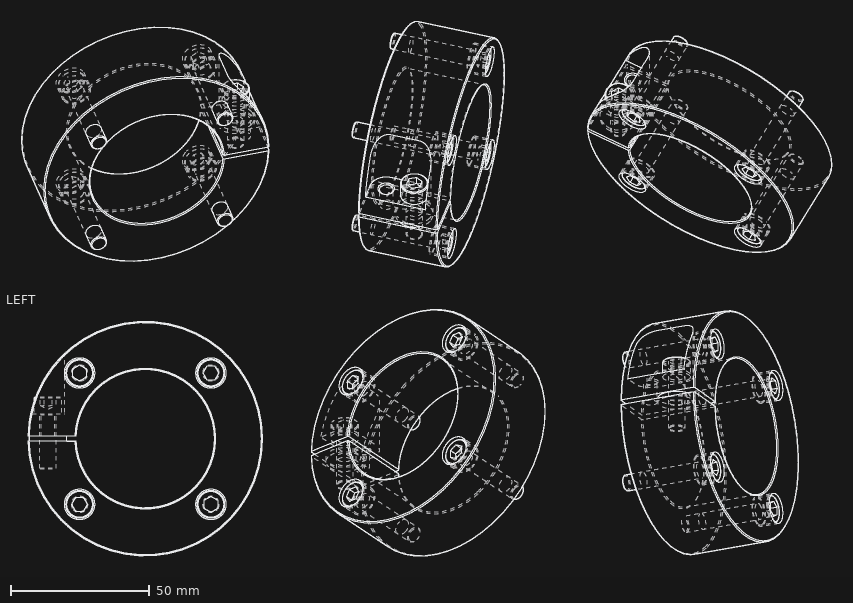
import cadquery as cq
import math

ring_radius = 42.4
ring_width = 29.85
bore_radius = 25.0
rim_chamfer = 0.4
split_gap = 1.8

shank_radius = 3.0
head_radius = 5.0
head_height = 6.0
head_chamfer = 0.3
tip_chamfer = 0.3
socket_across_flats = 5.0
socket_depth = 3.0
socket_cone_height = 1.4

mount_offset = 23.75
mount_tip_x = 37.0
mount_head_recess = 0.9
counterbore_radius = 5.5
mount_shank_length = mount_tip_x - mount_head_recess - head_height

clamp_x = 10.8
clamp_y = 35.2
clamp_shank_length = 19.9

jack_x = 21.4
jack_radius = 2.5
jack_countersink = 0.5

pocket_floor_z = 9.0
pocket_margin = 6.0

washer_radius = 6.8


def socket_cutter():
    """Hexagonal socket with a conical bottom, open at Z = 0 and reaching down."""
    circumradius = socket_across_flats / math.sqrt(3)
    full_depth = socket_depth + socket_cone_height
    hexagon = cq.Workplane("XY").polygon(6, 2 * circumradius).extrude(-full_depth)
    drill = (
        cq.Workplane("XZ")
        .polyline([(0, 0), (circumradius, 0), (circumradius, -socket_depth), (0, -full_depth)])
        .close()
        .revolve(360, (0, 0), (0, 1))
    )
    return hexagon.intersect(drill)


def cap_screw(shank_length):
    """Socket head cap screw along Z: the head stands on Z = 0, the shank reaches down."""
    head = cq.Workplane("XY").circle(head_radius).extrude(head_height).faces(">Z").chamfer(head_chamfer)
    shank = cq.Workplane("XY").circle(shank_radius).extrude(-shank_length).faces("<Z").chamfer(tip_chamfer)
    socket = socket_cutter().translate((0, 0, head_height))
    return head.union(shank).cut(socket)


def mount_centres():
    """The (Y, Z) places of the mounting screws and the turn of each one about its axis."""
    for y_side in (1, -1):
        for z_side in (1, -1):
            turn = 0 if y_side == z_side else 90
            yield y_side * mount_offset, z_side * mount_offset, turn


def rod_along_x(radius, start_x, end_x, y, z):
    return cq.Workplane("YZ", origin=(start_x, 0, 0)).center(y, z).circle(radius).extrude(end_x - start_x)


def rod_along_z(radius, start_z, end_z, x, y):
    return cq.Workplane("XY", origin=(0, 0, start_z)).center(x, y).circle(radius).extrude(end_z - start_z)


def pocket_cutter():
    """Pocket with two rounded inner corners, centred on the clamp screw and the jack hole."""
    left = clamp_x - pocket_margin
    right = jack_x + pocket_margin
    inner = clamp_y - pocket_margin
    return (
        cq.Workplane("XY", origin=(0, 0, pocket_floor_z))
        .moveTo(left, ring_radius)
        .lineTo(left, clamp_y)
        .radiusArc((clamp_x, inner), -pocket_margin)
        .lineTo(jack_x, inner)
        .radiusArc((right, clamp_y), -pocket_margin)
        .lineTo(right, ring_radius)
        .close()
        .extrude(ring_radius)
    )


def jack_hole_cutter():
    """Hole from the pocket floor into the split, countersunk at the floor."""
    top_radius = jack_radius + jack_countersink
    countersink = cq.Solid.makeCone(
        jack_radius,
        top_radius,
        jack_countersink,
        cq.Vector(jack_x, clamp_y, pocket_floor_z - jack_countersink),
    )
    return rod_along_z(jack_radius, 0, pocket_floor_z, jack_x, clamp_y).union(cq.Workplane(countersink))


def make_ring():
    body = cq.Workplane("YZ").circle(ring_radius).circle(bore_radius).extrude(ring_width)
    body = body.faces("<X or >X").chamfer(rim_chamfer)

    split = cq.Workplane("XY").box(ring_width, ring_radius, split_gap, centered=(False, False, True))
    body = body.cut(split)

    for y, z, _ in mount_centres():
        body = body.cut(rod_along_x(shank_radius, 0, ring_width, y, z))
        body = body.cut(rod_along_x(counterbore_radius, 0, mount_head_recess + head_height, y, z))

    body = body.cut(pocket_cutter())
    clamp_end_z = pocket_floor_z - clamp_shank_length
    body = body.cut(rod_along_z(shank_radius, clamp_end_z, pocket_floor_z, clamp_x, clamp_y))
    return body.cut(jack_hole_cutter())


def make_mount_screws():
    screws = []
    for y, z, turn in mount_centres():
        screw = cap_screw(mount_shank_length).rotate((0, 0, 0), (0, 0, 1), turn)
        screw = screw.rotate((0, 0, 0), (0, 1, 0), -90)
        screws.append(screw.translate((mount_head_recess + head_height, y, z)))
    return screws


def make_clamp_screw():
    screw = cap_screw(clamp_shank_length).rotate((0, 0, 0), (0, 0, 1), 90)
    return screw.translate((clamp_x, clamp_y, pocket_floor_z))


def make_washer():
    return (
        cq.Workplane("XY", origin=(clamp_x, clamp_y, -split_gap / 2))
        .circle(washer_radius)
        .circle(shank_radius)
        .extrude(split_gap)
    )


ring = make_ring()
mount_screws = make_mount_screws()
clamp_screw = make_clamp_screw()
washer = make_washer()

result = cq.Compound.makeCompound(
    [ring.val(), *[screw.val() for screw in mount_screws], clamp_screw.val(), washer.val()]
)